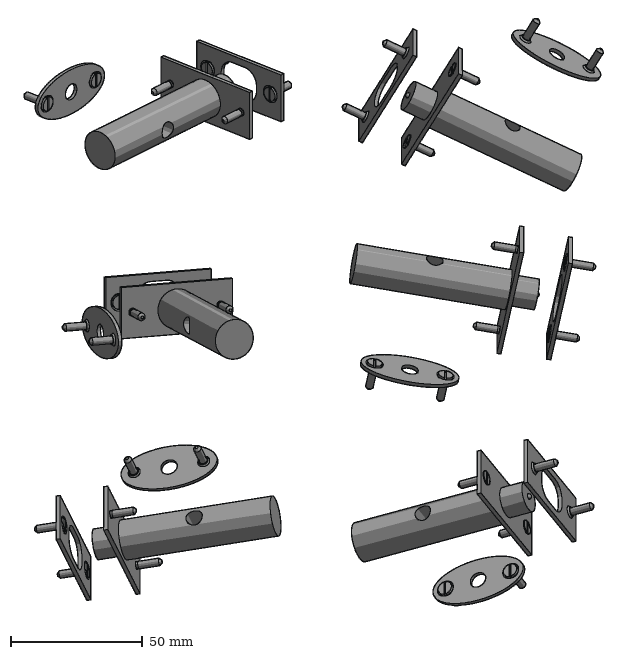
import cadquery as cq


plate_height = 20.0
plate_thickness = 1.6

face_plate_width = 45.45
face_screw_pitch = 36.0
barrel_diameter = 15.5
barrel_length = 60.0
bolt_diameter = 12.0
bolt_length = 9.3
nub_radius = 1.1
key_hole_diameter = 6.4
key_hole_y = -31.6

strike_plate_width = 43.2
strike_plate_y = 17.5
strike_screw_pitch = 32.0
strike_opening_length = 18.0
strike_opening_height = 14.0
strike_opening_corner = 5.8

oval_length = 38.0
oval_height = 19.0
oval_thickness = 1.45
oval_plate_x = -43.1
oval_screw_pitch = 27.5

screw_length = 12.0
shank_diameter = 3.0
shank_radius = shank_diameter / 2
shank_start = 2.7
tip_length = 1.0
tip_radius = 0.5
head_radius = 2.8
head_slot_width = 0.7
head_slot_depth = 0.7
head_rise = 0.4
oval_head_rise = 0.5

plain_cone = {"start": 1.4, "end": shank_start, "throat": 1.9}
neck_cone = {"start": head_rise, "end": 1.7, "throat": 1.4}

neck_hole_radius = 1.5


def turned(points):
    """Solid turned about Z from (radius, z) points that start and end on the axis."""
    return cq.Workplane("XZ").polyline(points).close().revolve(360, (0, 0), (0, 1))


def head_blank(cone):
    """Screw head without its slot: a round rim with its face at Z = 0, then a cone along -Z."""
    return turned(
        [
            (0, 0),
            (head_radius, 0),
            (head_radius, -cone["start"]),
            (cone["throat"], -cone["end"]),
            (0, -cone["end"]),
        ]
    )


def screw(cone):
    """Slotted countersunk screw along -Z with its head face at Z = 0 and its slot along Y."""
    neck = cq.Workplane("XY").circle(cone["throat"]).extrude(-shank_start)
    shank = turned(
        [
            (0, -shank_start),
            (shank_radius, -shank_start),
            (shank_radius, tip_length - screw_length),
            (tip_radius, -screw_length),
            (0, -screw_length),
        ]
    )
    slot = cq.Workplane("XY").box(head_slot_width, 2 * head_radius, 2 * head_slot_depth)
    return head_blank(cone).union(neck).union(shank).cut(slot)


def plain_cone_radius(depth):
    """Radius of the plain screw's head cone, or of its extension, at a depth below the head face."""
    slope = (head_radius - plain_cone["throat"]) / (plain_cone["end"] - plain_cone["start"])
    return plain_cone["throat"] + slope * (plain_cone["end"] - depth)


def countersunk_hole(rise, thickness):
    """Cutter for a plain screw standing out by rise: its head cone, extended to the plate surface."""
    back = rise + thickness
    return turned(
        [(0, -rise), (plain_cone_radius(rise), -rise), (plain_cone_radius(back), -back), (0, -back)]
    )


def facing_back(shape):
    """Turn a shape from +Z to -Y, keeping its slot upright."""
    return shape.rotate((0, 0, 0), (1, 0, 0), 90)


def facing_front(shape):
    """Turn a shape from +Z to +Y, keeping its slot upright."""
    return shape.rotate((0, 0, 0), (1, 0, 0), -90)


def facing_right(shape):
    """Turn a shape from +Z to +X, bringing its slot upright."""
    return shape.rotate((0, 0, 0), (0, 0, 1), 90).rotate((0, 0, 0), (0, 1, 0), 90)


def spread(pitch):
    """The two screw places at equal distances from the middle of a plate."""
    return [-pitch / 2, pitch / 2]


face_screw_places = [(x, head_rise, 0) for x in spread(face_screw_pitch)]
strike_screw_places = [(x, strike_plate_y - head_rise, 0) for x in spread(strike_screw_pitch)]
oval_screw_places = [
    (oval_plate_x + oval_thickness + oval_head_rise, key_hole_y + y, 0) for y in spread(oval_screw_pitch)
]


def make_lock_body():
    """Face plate, barrel, bolt and nub in one solid, with the key hole across the barrel."""
    plate = cq.Workplane("XZ").rect(face_plate_width, plate_height).extrude(plate_thickness)
    barrel = cq.Workplane("XZ").circle(barrel_diameter / 2).extrude(plate_thickness + barrel_length)
    bolt = cq.Workplane("XZ").circle(bolt_diameter / 2).extrude(-bolt_length)
    nub = cq.Workplane("XY").sphere(nub_radius).translate((0, bolt_length, 0))
    key_hole = (
        cq.Workplane("YZ", origin=(0, key_hole_y, 0))
        .circle(key_hole_diameter / 2)
        .extrude(barrel_diameter, both=True)
    )
    body = plate.union(barrel).union(bolt).union(nub).cut(key_hole)
    neck_hole = cq.Workplane("XY").circle(neck_hole_radius).extrude(-shank_start)
    hole = head_blank(neck_cone).union(neck_hole)
    for place in face_screw_places:
        body = body.cut(facing_front(hole).translate(place))
    return body


def make_strike_plate():
    """Strike plate with a rounded rectangular opening for the bolt."""
    middle = cq.Workplane("XZ", origin=(0, strike_plate_y, 0))
    plate = middle.rect(strike_plate_width, plate_height).extrude(-plate_thickness)
    opening = middle.rect(strike_opening_length, strike_opening_height).extrude(-plate_thickness)
    plate = plate.cut(opening.edges("|Y").fillet(strike_opening_corner))
    for place in strike_screw_places:
        plate = plate.cut(facing_back(countersunk_hole(head_rise, plate_thickness)).translate(place))
    return plate


def make_oval_plate():
    """Elliptical cover plate with a key hole in line with the one in the barrel."""
    plate = (
        cq.Workplane("YZ", origin=(oval_plate_x, key_hole_y, 0))
        .ellipse(oval_length / 2, oval_height / 2)
        .circle(key_hole_diameter / 2)
        .extrude(oval_thickness)
    )
    for place in oval_screw_places:
        plate = plate.cut(facing_right(countersunk_hole(oval_head_rise, oval_thickness)).translate(place))
    return plate


lock_body = make_lock_body()
strike_plate = make_strike_plate()
oval_plate = make_oval_plate()

necked_screw = screw(neck_cone)
plain_screw = screw(plain_cone)
face_screws = [facing_front(necked_screw).translate(place) for place in face_screw_places]
strike_screws = [facing_back(plain_screw).translate(place) for place in strike_screw_places]
oval_screws = [facing_right(plain_screw).translate(place) for place in oval_screw_places]

bodies = [lock_body, strike_plate, oval_plate, *face_screws, *strike_screws, *oval_screws]
result = cq.Compound.makeCompound([body.val() for body in bodies])